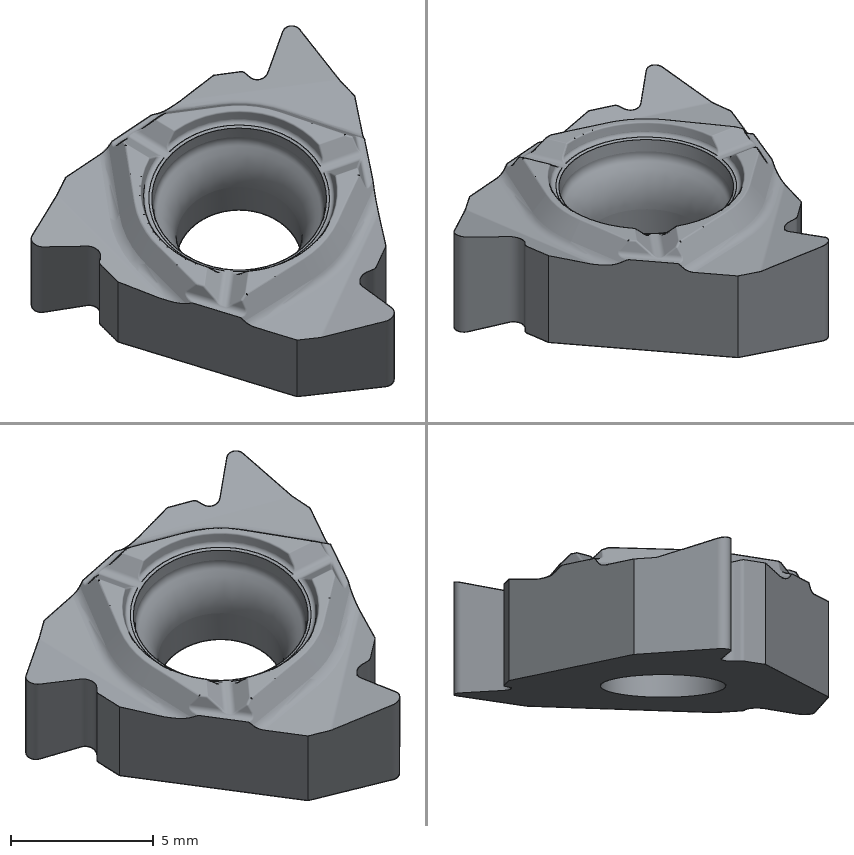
import cadquery as cq
import math

TEETH = 3
PITCH_ANGLE = 360 / TEETH

overall_length = 13.09
height = 4.2
floor_z = 3.4
side_distance = 4.76
cutter_reach = 10.47

flank_angle = 28.5
tip_radius = 0.35
tip_x = -2.96
relief_radius = 0.4
relief_y = -5.54
relief_exit_angle = 40
relief_corner_radius = 0.2

rake_start = 4.71
rake_angle = 15
rake_blend = 0.04

crown_top_radius = 3.69
crown_wall_angle = 50
crown_arc_angle = 32
crown_foot_radius = 0.45
crown_edge_radius = 0.08

notch_floor_z = 3.72
notch_floor_width = 0.12
notch_wall_angle = 65
notch_blend_radius = 0.22
notch_length = 7.85
notch_edge_radius = 0.08
notch_edge_span = 2.62
notch_edge_inner_x = 4.19
edge_margin = 0.01

groove_floor_z = 3.75
groove_floor_width = 0.29
groove_top_width = 1.47
groove_blend_radius = 0.27
groove_inner_radius = 2.62
groove_end_radius = 0.07

bore_diameter = 4.4
bore_top_z = 1.37
seat_radius = 2.87
seat_top_z = 2.93
throat_radius = 3.0
throat_bottom_z = 3.27
throat_top_radius = 3.06
throat_top_z = 3.73
ledge_radius = 3.17
ledge_z = 3.77
rim_foot_radius = 3.35
rim_foot_z = 3.89
rim_radius = 3.44
throat_blend_bulge = 0.04
ledge_blend_bulge = 0.04


def polar(radius, angle):
    """XY point at an angle in degrees."""
    return (radius * math.cos(math.radians(angle)), radius * math.sin(math.radians(angle)))


def turned(point, angle):
    """XY point turned about the hole axis."""
    return polar(math.hypot(*point), math.degrees(math.atan2(point[1], point[0])) + angle)


def around(center, radius, angle):
    """XY point on a circle about a given center."""
    dx, dy = polar(radius, angle)
    return (center[0] + dx, center[1] + dy)


def bulged(start, end, bulge):
    """Middle point of an arc that bulges to the right of the line from start to end."""
    dx = end[0] - start[0]
    dy = end[1] - start[1]
    shift = bulge / math.hypot(dx, dy)
    return ((start[0] + end[0]) / 2 + dy * shift, (start[1] + end[1]) / 2 - dx * shift)


def repeated(solid):
    """The solid together with its copies at the other teeth."""
    copies = solid
    for i in range(1, TEETH):
        copies = copies.union(solid.rotate((0, 0, 0), (0, 0, 1), i * PITCH_ANGLE))
    return copies


def insert_body():
    """Full-height prism with the toothed outline."""
    flank = math.radians(flank_angle)
    tip_x_share = tip_x * math.sin(math.radians(PITCH_ANGLE))
    tip_y = -(overall_length - 2 * tip_radius + tip_x_share) / (1 - math.cos(math.radians(PITCH_ANGLE)))
    shoulder_y = -side_distance / math.sin(math.radians(PITCH_ANGLE / 2))
    tip = (tip_x, tip_y)

    tip_offset = tip_x * math.cos(flank) - tip_y * math.sin(flank)
    relief_x = (tip_offset + tip_radius + relief_radius + relief_y * math.sin(flank)) / math.cos(flank)
    relief = (relief_x, relief_y)

    left_tangent = around(tip, tip_radius, 180 + flank_angle)
    right_tangent = around(tip, tip_radius, -flank_angle)
    corner = (-side_distance, left_tangent[1] + (left_tangent[0] + side_distance) / math.tan(flank))
    relief_entry = around(relief, relief_radius, 180 - flank_angle)
    relief_exit = around(relief, relief_radius, relief_exit_angle)
    exit_run = (relief_exit[1] - shoulder_y) * math.tan(math.radians(relief_exit_angle))
    relief_corner = (relief_exit[0] + exit_run, shoulder_y)
    straight_angle = 90 + relief_exit_angle
    corner_trim = relief_corner_radius * math.tan(math.radians(180 - straight_angle) / 2)
    corner_start = around(relief_corner, corner_trim, straight_angle)
    corner_end = around(relief_corner, corner_trim, 0)

    outline = cq.Workplane("XY").moveTo(*corner)
    for i in range(TEETH):
        a = i * PITCH_ANGLE
        if i > 0:
            outline = outline.lineTo(*turned(corner, a))
        outline = (
            outline.lineTo(*turned(left_tangent, a))
            .threePointArc(turned(around(tip, tip_radius, -90), a), turned(right_tangent, a))
            .lineTo(*turned(relief_entry, a))
            .threePointArc(turned(around(relief, relief_radius, 90), a), turned(relief_exit, a))
            .lineTo(*turned(corner_start, a))
            .tangentArcPoint(turned(corner_end, a), relative=False)
            .lineTo(*turned((0, shoulder_y), a))
        )
    return outline.close().extrude(height)


def crown_outline(workplane, radius):
    """Rounded triangle: arcs about the hole axis joined by tangent lines that meet in corners."""
    half_corner = (PITCH_ANGLE - crown_arc_angle) / 2
    arc_end = -90
    arc_start = arc_end - crown_arc_angle
    corner = polar(radius / math.cos(math.radians(half_corner)), arc_end + half_corner)
    outline = workplane.moveTo(*turned(corner, -PITCH_ANGLE))
    for i in range(TEETH):
        a = i * PITCH_ANGLE
        outline = (
            outline.lineTo(*polar(radius, arc_start + a))
            .threePointArc(polar(radius, (arc_start + arc_end) / 2 + a), polar(radius, arc_end + a))
            .lineTo(*turned(corner, a))
        )
    return outline.close()


def floor_and_crown():
    """Slab up to the floor with the tapered crown on top and a fillet at its foot."""
    rise = height - floor_z
    foot_radius = crown_top_radius + rise / math.tan(math.radians(crown_wall_angle))
    foot_reach = 2 * foot_radius
    slab = cq.Workplane("XY").rect(2 * cutter_reach, 2 * cutter_reach).extrude(floor_z)
    foot = crown_outline(cq.Workplane("XY").workplane(offset=floor_z), foot_radius)
    crown = crown_outline(foot.workplane(offset=rise), crown_top_radius).loft(ruled=True)
    crown = crown.faces(">Z").edges().fillet(crown_edge_radius)
    foot_edges = cq.selectors.BoxSelector(
        (-foot_reach, -foot_reach, floor_z - edge_margin),
        (foot_reach, foot_reach, floor_z + edge_margin),
    )
    return slab.union(crown).edges(foot_edges).fillet(crown_foot_radius)


def rake_wedge():
    """Wedge that lifts the top face of one tooth, with a small blend to the floor."""
    slope = math.tan(math.radians(rake_angle))
    wedge = (
        cq.Workplane("YZ")
        .moveTo(-rake_start + rake_blend, floor_z)
        .lineTo(-rake_start + rake_blend, 0)
        .lineTo(-cutter_reach, 0)
        .lineTo(-cutter_reach, floor_z + (cutter_reach - rake_start) * slope)
        .lineTo(-rake_start - rake_blend, floor_z + rake_blend * slope)
        .tangentArcPoint((-rake_start + rake_blend, floor_z), relative=False)
        .close()
    )
    return wedge.extrude(cutter_reach, both=True)


def side_notch():
    """Cutter for the notch along the long side at -X."""
    back_x = -side_distance + notch_floor_width
    half_turn = math.radians(notch_wall_angle / 2)
    heel_x = back_x + notch_blend_radius * math.tan(half_turn)
    wall_run = (height - notch_floor_z) / math.tan(math.radians(notch_wall_angle))
    profile = [
        (-cutter_reach, notch_floor_z),
        (heel_x, notch_floor_z),
        (heel_x + wall_run, height),
        (-cutter_reach, height),
    ]
    cutter = cq.Workplane("XZ").polyline(profile).close().extrude(notch_length / 2, both=True)
    heel = cq.selectors.NearestToPointSelector((heel_x, 0, notch_floor_z))
    return cutter.edges(heel).fillet(notch_blend_radius)


def radial_groove():
    """Cutter for the groove that runs from the hole to the crown corner nearest -X."""
    groove_angle = -90 - (PITCH_ANGLE + crown_arc_angle) / 2
    half_floor = groove_floor_width / 2
    half_top = groove_top_width / 2
    profile = [
        (-half_floor, groove_floor_z),
        (half_floor, groove_floor_z),
        (half_top, height),
        (-half_top, height),
    ]
    start = cq.Workplane("YZ").workplane(offset=groove_inner_radius)
    cutter = start.polyline(profile).close().extrude(cutter_reach)
    cutter = cutter.faces("<Z").edges("|X").fillet(groove_blend_radius)
    return cutter.rotate((0, 0, 0), (0, 0, 1), groove_angle)


def screw_hole():
    """Cutter for the bore, the rounded screw seat and the stepped rim."""
    bore_radius = bore_diameter / 2
    seat_width = seat_radius - bore_radius
    seat_depth = seat_top_z - bore_top_z
    seat_arc_radius = (seat_width**2 + seat_depth**2) / (2 * seat_width)
    mid_angle = math.asin(seat_depth / seat_arc_radius) / 2
    seat_mid = (
        bore_radius + seat_arc_radius * (1 - math.cos(mid_angle)),
        bore_top_z + seat_arc_radius * math.sin(mid_angle),
    )
    throat_mid = bulged((seat_radius, seat_top_z), (throat_radius, throat_bottom_z), throat_blend_bulge)
    ledge_mid = bulged((ledge_radius, ledge_z), (rim_foot_radius, rim_foot_z), ledge_blend_bulge)
    return (
        cq.Workplane("XZ")
        .lineTo(bore_radius, 0)
        .lineTo(bore_radius, bore_top_z)
        .threePointArc(seat_mid, (seat_radius, seat_top_z))
        .threePointArc(throat_mid, (throat_radius, throat_bottom_z))
        .lineTo(throat_top_radius, throat_top_z)
        .lineTo(ledge_radius, ledge_z)
        .threePointArc(ledge_mid, (rim_foot_radius, rim_foot_z))
        .lineTo(rim_radius, height)
        .lineTo(0, height)
        .close()
        .revolve(360, (0, 0, 0), (0, 1, 0))
    )


def round_each_third(body, edge_box, radius):
    """Round the edges centered inside the box, and the matching edges of the other thirds."""
    for _ in range(TEETH):
        body = body.edges(edge_box).fillet(radius)
        body = body.rotate((0, 0, 0), (0, 0, 1), PITCH_ANGLE)
    return body


notch_edges = cq.selectors.BoxSelector(
    (-side_distance + edge_margin, -notch_edge_span, notch_floor_z - edge_margin),
    (-notch_edge_inner_x, notch_edge_span, height + edge_margin),
)
groove_end_edges = cq.selectors.BoxSelector(
    (-rim_radius, -groove_top_width - edge_margin, notch_floor_z),
    (-seat_radius, 0, height - edge_margin),
)

top_shape = floor_and_crown().union(repeated(rake_wedge()))
result = insert_body().intersect(top_shape)
result = result.cut(screw_hole())
result = result.cut(repeated(side_notch()))
result = result.cut(repeated(radial_groove()))
result = round_each_third(result, notch_edges, notch_edge_radius)
result = round_each_third(result, groove_end_edges, groove_end_radius)